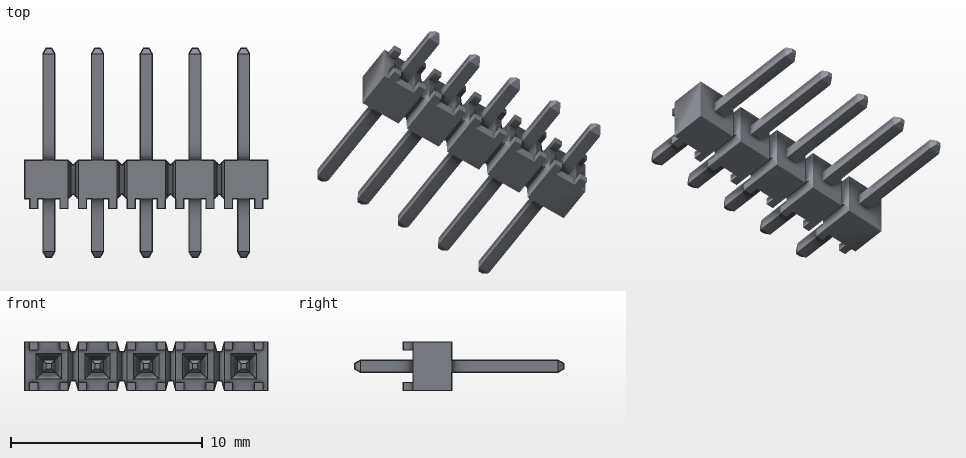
import cadquery as cq

pin_count = 5
pitch = 2.54
row_length = pin_count * pitch

body_height = 2.54
body_depth = 2.03

groove_half_width = 0.27
groove_floor_half_width = 0.13
groove_depth = 0.51
break_chamfer = groove_half_width

foot_size = 0.43
foot_length = 0.51
foot_outer_offset = pitch / 2 - groove_half_width

pin_width = 0.64
rear_pin_length = 5.84
front_pin_length = 3.05
tip_width = 0.28
tip_length = 0.3

lead_in_width = 1.32
lead_in_depth = 0.25

front_y = -body_depth
pin_positions = [(i - (pin_count - 1) / 2) * pitch for i in range(pin_count)]
groove_positions = [x + pitch / 2 for x in pin_positions[:-1]]


def square_frustum(x, start_y, start_width, end_y, end_width):
    """Square section tapering along the pin direction, centred on the pin axis."""
    return (
        cq.Workplane("XZ", origin=(x, start_y, 0))
        .rect(start_width, start_width)
        .workplane(offset=start_y - end_y)
        .rect(end_width, end_width)
        .loft(ruled=True)
    )


def break_groove(x):
    """Trapezoidal grooves above and below, and V notches front and rear."""
    half_height = body_height / 2
    floor_z = half_height - groove_depth
    top_groove = (
        cq.Workplane("XZ", origin=(x, 0, 0))
        .polyline([
            (-groove_half_width, half_height),
            (-groove_floor_half_width, floor_z),
            (groove_floor_half_width, floor_z),
            (groove_half_width, half_height),
        ])
        .close()
        .extrude(body_depth)
    )
    rear_notch = (
        cq.Workplane("XY", origin=(x, 0, -half_height))
        .polyline([(-groove_half_width, 0), (0, -break_chamfer), (groove_half_width, 0)])
        .close()
        .extrude(body_height)
    )
    bottom_groove = top_groove.mirror("XY")
    front_notch = rear_notch.mirror("XZ", (0, front_y / 2, 0))
    return top_groove.union(bottom_groove).union(rear_notch).union(front_notch)


def feet(x):
    """Four stand-off feet at the corners of one housing."""
    spacing_x = 2 * foot_outer_offset - foot_size
    spacing_z = body_height - foot_size
    return (
        cq.Workplane("XZ", origin=(x, front_y, 0))
        .rect(spacing_x, spacing_z, forConstruction=True)
        .vertices()
        .rect(foot_size, foot_size)
        .extrude(foot_length)
    )


def pin(x):
    """Square pin through the housing with a tapered tip at each end."""
    rear_end = rear_pin_length
    front_end = front_y - front_pin_length
    rear_shoulder = rear_end - tip_length
    front_shoulder = front_end + tip_length
    shank = square_frustum(x, rear_shoulder, pin_width, front_shoulder, pin_width)
    rear_tip = square_frustum(x, rear_end, tip_width, rear_shoulder, pin_width)
    front_tip = square_frustum(x, front_shoulder, pin_width, front_end, tip_width)
    return shank.union(rear_tip).union(front_tip)


result = cq.Workplane("XY").box(row_length, body_depth, body_height).translate((0, front_y / 2, 0))

for x in groove_positions:
    result = result.cut(break_groove(x))

for x in pin_positions:
    result = result.cut(square_frustum(x, front_y + lead_in_depth, pin_width, front_y, lead_in_width))
    result = result.union(feet(x)).union(pin(x))